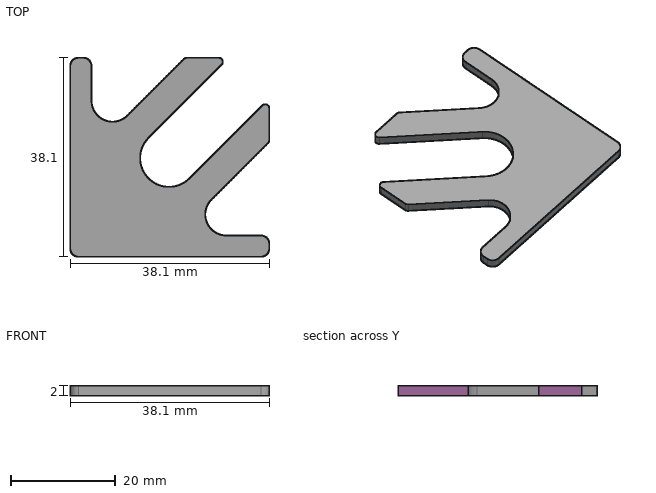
import cadquery as cq
import math

side = 38.1
thickness = 2.0
arm_width = 4.1
corner_radius = 1.6
prong_tip_radius = 0.8

slot_radius = 5.5
slot_end = 18.9

notch_radius = 4.0
notch_depth_center = 29.87
notch_center = arm_width + notch_radius

overrun = 7.62


def slot_cutter():
    """Round-ended slot running outward along the diagonal."""
    length = math.sqrt(2) * (side + overrun - slot_end)
    channel = (
        cq.Workplane("XY")
        .rect(length, 2 * slot_radius)
        .extrude(thickness)
        .translate((length / 2, 0, 0))
    )
    end = cq.Workplane("XY").circle(slot_radius).extrude(thickness)
    cutter = channel.union(end).rotate((0, 0, 0), (0, 0, 1), 45)
    return cutter.translate((slot_end, slot_end, 0))


def notch_cutter():
    """Notch with one wall along Y, one at 45 degrees, and a tangent round bottom."""
    half_chord = notch_radius * math.sqrt(0.5)
    tangent_x = notch_center + half_chord
    tangent_y = notch_depth_center - half_chord
    top = side + overrun
    return (
        cq.Workplane("XY")
        .moveTo(arm_width, top)
        .lineTo(arm_width, notch_depth_center)
        .threePointArc((notch_center, notch_depth_center - notch_radius), (tangent_x, tangent_y))
        .lineTo(tangent_x + top - tangent_y, top)
        .close()
        .extrude(thickness)
    )


def mirrored_across_diagonal(body):
    """Swap X and Y of a body."""
    return body.mirror("YZ").rotate((0, 0, 0), (0, 0, 1), -90)


def round_edges_at(body, points, radius):
    """Round the upright edges that pass through the given XY points."""
    for x, y in points:
        edge = cq.selectors.NearestToPointSelector((x, y, thickness / 2))
        body = body.edges("|Z").edges(edge).fillet(radius)
    return body


plate = cq.Workplane("XY").rect(side, side, centered=False).extrude(thickness)
notch = notch_cutter()
plate = plate.cut(slot_cutter()).cut(notch).cut(mirrored_across_diagonal(notch))

arm_corners = [(0, side), (arm_width, side), (side, 0), (side, arm_width)]
plate = round_edges_at(plate, [(0, 0)] + arm_corners, corner_radius)

slot_wall_x = side - slot_radius * math.sqrt(2)
notch_wall_x = side - notch_depth_center + notch_center + notch_radius * math.sqrt(2)
prong_corners = [
    (slot_wall_x, side),
    (notch_wall_x, side),
    (side, slot_wall_x),
    (side, notch_wall_x),
]
result = round_edges_at(plate, prong_corners, prong_tip_radius)